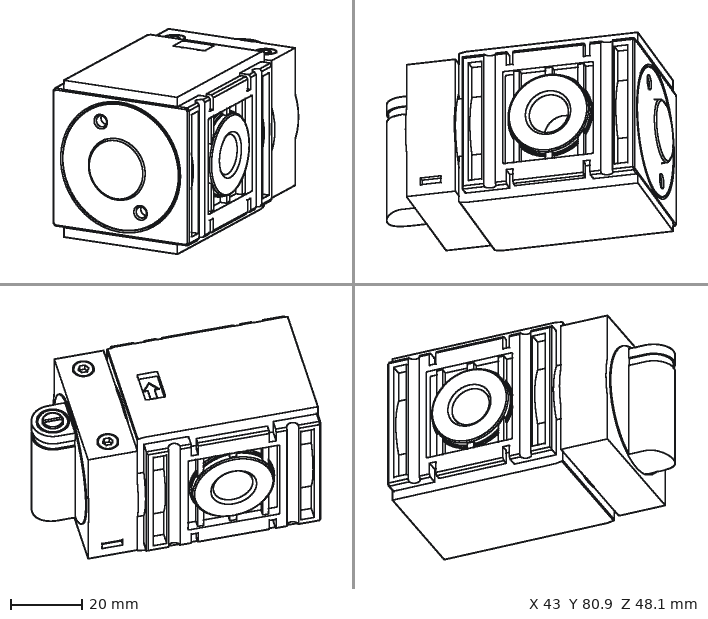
import cadquery as cq
import math


TOTAL_LENGTH = 80.9

BODY_WIDTH = 43.0
BODY_HEIGHT = 40.3
BODY_FRONT = -25.2
BODY_BACK = 25.1
BODY_CHAMFER_SIDE = 0.6
BODY_CHAMFER_TOP = 0.7
BODY_CHAMFER_END = 0.4

COVER_WIDTH = 35.9
COVER_BACK = 27.0
COVER_HEIGHT = 48.1
COVER_EDGE_Z = 23.0
COVER_LIP_Z = 22.65
COVER_LIP_CHAMFER = 0.25
COVER_CROWN_FRONT = -20.95
COVER_CROWN_BACK = 21.35
COVER_SLOPE_RISE = 1.1
CORE_SETBACK = 1.6

CORE_DIAMETER = 40.0

SLOT_Y = 21.3
SLOT_WIDTH = 3.9
SLOT_HEIGHT = 35.75
CHANNEL_Y = 17.1
CHANNEL_DIAMETER = 3.4
CHANNEL_INSET = 0.25
NOTCH_Y = 11.25
NOTCH_WIDTH = 1.95
NOTCH_BOTTOM_Z = 15.9
GAP_WIDTH = 1.3

WINDOW_LENGTH = 26.4
WINDOW_HEIGHT = 28.0
WINDOW_DEPTH = 2.75
WINDOW_CORNER = 0.4
RIB_RECESS = 0.7
RIB_Y = 9.4
RIB_WIDTH = 1.7
CENTRE_RIB_WIDTH = 1.95
FLANGE_DIAMETER = 23.5
FLANGE_CHAMFER = 0.4
COLLAR_DIAMETER = 24.4
COLLAR_RECESS = 1.95
PORT_DIAMETER = 11.4
PORT_DEPTH = 16.2
PORT_CHAMFER = 0.9

KNOB_DIAMETER = 18.0
KNOB_FRONT = -27.9
KNOB_TIP_CHAMFER = 0.5
KNOB_FOOT_RADIUS = 1.0
CAP_DIAMETER = 37.0
CAP_SEAT_DIAMETER = 38.0
CAP_EDGE_BEVEL = 0.2
PIN_HOLE_DIAMETER = 3.2
PIN_HOLE_CHAMFER = 0.5
PIN_HOLE_DEPTH = 3.2
PIN_HOLE_X = 6.3
PIN_HOLE_Z = 12.45

BLOCK_FRONT = 27.4
BLOCK_BACK = 41.7
BLOCK_WIDTH = 40.1
BLOCK_HEIGHT = 40.2
BLOCK_ROUND_DIAMETER = 42.2
BACK_DISC_DIAMETER = CAP_DIAMETER
BACK_DISC_THICKNESS = 0.3
SCREW_X = 14.5
SCREW_Y = 34.6
SCREW_HEAD_DIAMETER = 5.5
SCREW_SEAT_DIAMETER = 6.0
SCREW_SEAT_DEPTH = 0.8
SCREW_HEX_ACROSS_FLATS = 2.6
SCREW_HEX_DEPTH = 1.6
LABEL_Y = 34.6
LABEL_Z = -15.9
LABEL_LENGTH = 6.0
LABEL_HEIGHT = 2.0
LABEL_DEPTH = 1.6

LUG_BACK = KNOB_FRONT + TOTAL_LENGTH
LUG_WIDTH = 12.05
LUG_TOP = 16.75
LUG_BOTTOM_RADIUS = 18.6
LUG_GROOVE_LOW = 11.3
LUG_GROOVE_HIGH = 13.75
LUG_GROOVE_DEPTH = 0.5
LUG_RING_INNER = 8.5
LUG_RING_OUTER = 9.15
LUG_RING_DEPTH = 0.4
ADJUSTER_RISE = 0.5
DRIVER_SLOT_WIDTH = 0.8
DRIVER_SLOT_DEPTH = 0.8

POCKET_WIDTH = 10.0
POCKET_FRONT = 15.6
POCKET_BACK = 21.4
POCKET_FLOOR_Z = 22.1
POCKET_CORNER = 0.4
ARROW_DEPTH = 0.3
ARROW_Y = 18.5
ARROW_TAIL_X = -3.15
ARROW_NECK_X = 0.2
ARROW_TIP_X = 3.0
ARROW_SHAFT_WIDTH = 1.95
ARROW_HEAD_WIDTH = 4.5


def block(x0, x1, y0, y1, z0, z1):
    """Box between opposite corners."""
    return cq.Workplane("XY").box(x1 - x0, y1 - y0, z1 - z0, centered=False).translate((x0, y0, z0))


def disc_x(diameter, x0, x1):
    """Cylinder on the port axis from x0 to x1."""
    return cq.Workplane("YZ").workplane(offset=x0).circle(diameter / 2).extrude(x1 - x0)


def disc_y(diameter, y0, y1):
    """Cylinder on the knob axis from y0 to y1."""
    return cq.Workplane("XZ", origin=(0, y0, 0)).circle(diameter / 2).extrude(y0 - y1)


def disc_z(diameter, x, y, z0, z1):
    """Cylinder along Z from z0 to z1."""
    return cq.Workplane("XY", origin=(x, y, z0)).circle(diameter / 2).extrude(z1 - z0)


def ring_z(outer, inner, x, y, z0, z1):
    """Upright ring from z0 to z1."""
    return disc_z(outer, x, y, z0, z1).cut(disc_z(inner, x, y, z0, z1))


def both_sides(solid):
    """The solid together with its mirror image across X = 0."""
    return solid.union(solid.mirror("YZ"))


def make_body():
    half_w = BODY_WIDTH / 2
    half_h = BODY_HEIGHT / 2
    section = [
        (half_w, half_h - BODY_CHAMFER_TOP),
        (half_w - BODY_CHAMFER_SIDE, half_h),
        (BODY_CHAMFER_SIDE - half_w, half_h),
        (-half_w, half_h - BODY_CHAMFER_TOP),
        (-half_w, BODY_CHAMFER_TOP - half_h),
        (BODY_CHAMFER_SIDE - half_w, -half_h),
        (half_w - BODY_CHAMFER_SIDE, -half_h),
        (half_w, BODY_CHAMFER_TOP - half_h),
    ]
    body = cq.Workplane("XZ", origin=(0, BODY_FRONT, 0)).polyline(section).close()
    body = body.extrude(BODY_FRONT - BODY_BACK)
    body = body.faces("<Y").chamfer(BODY_CHAMFER_END)
    return body.faces(">Y").edges("|Z").chamfer(BODY_CHAMFER_END)


def cut_side_wall(body):
    """Slots, channels, notches and port window in both side walls."""
    outer = BODY_WIDTH / 2
    inner = COVER_WIDTH / 2
    half_h = BODY_HEIGHT / 2
    for end in (-1, 1):
        slot = block(inner, outer, end * SLOT_Y - SLOT_WIDTH / 2, end * SLOT_Y + SLOT_WIDTH / 2,
                     -SLOT_HEIGHT / 2, SLOT_HEIGHT / 2)
        slot = slot.cut(disc_y(CORE_DIAMETER, BODY_FRONT, BODY_BACK))
        body = body.cut(both_sides(slot))
        channel = disc_z(CHANNEL_DIAMETER, outer - CHANNEL_INSET, end * CHANNEL_Y, -half_h, half_h)
        body = body.cut(both_sides(channel))

    for low, high in ((NOTCH_BOTTOM_Z, half_h), (-half_h, -NOTCH_BOTTOM_Z)):
        for end in (-1, 1):
            notch = block(inner, outer, end * NOTCH_Y - NOTCH_WIDTH / 2, end * NOTCH_Y + NOTCH_WIDTH / 2,
                          low, high)
            body = body.cut(both_sides(notch))
        gap = block(inner, inner + GAP_WIDTH, -NOTCH_Y, NOTCH_Y, low, high)
        body = body.cut(both_sides(gap))

    floor = outer - WINDOW_DEPTH
    window = block(floor, outer, -WINDOW_LENGTH / 2, WINDOW_LENGTH / 2, -WINDOW_HEIGHT / 2, WINDOW_HEIGHT / 2)
    window = window.edges("|X").fillet(WINDOW_CORNER)
    rib_top = outer - RIB_RECESS
    for y, width in ((-RIB_Y, RIB_WIDTH), (0, CENTRE_RIB_WIDTH), (RIB_Y, RIB_WIDTH)):
        window = window.cut(block(floor, rib_top, y - width / 2, y + width / 2,
                                  -WINDOW_HEIGHT / 2, WINDOW_HEIGHT / 2))
    return body.cut(both_sides(window))


def make_port_flange():
    outer = BODY_WIDTH / 2
    floor = outer - WINDOW_DEPTH
    flange = disc_x(FLANGE_DIAMETER, floor, outer).faces(">X").chamfer(FLANGE_CHAMFER)
    return both_sides(flange.union(disc_x(COLLAR_DIAMETER, floor, outer - COLLAR_RECESS)))


def make_port_bore():
    outer = BODY_WIDTH / 2
    radius = PORT_DIAMETER / 2
    outline = [
        (outer, 0),
        (outer, radius + PORT_CHAMFER),
        (outer - PORT_CHAMFER, radius),
        (outer - PORT_DEPTH, radius),
        (outer - PORT_DEPTH, 0),
    ]
    bore = cq.Workplane("XY").polyline(outline).close().revolve(360, (0, 0, 0), (1, 0, 0))
    return both_sides(bore)


def make_covers():
    half_w = COVER_WIDTH / 2
    crown_z = COVER_HEIGHT / 2
    crowned = (
        cq.Workplane("XZ", origin=(0, BODY_FRONT, 0))
        .moveTo(-half_w, -COVER_EDGE_Z)
        .lineTo(-half_w, COVER_EDGE_Z)
        .threePointArc((0, crown_z), (half_w, COVER_EDGE_Z))
        .lineTo(half_w, -COVER_EDGE_Z)
        .threePointArc((0, -crown_z), (-half_w, -COVER_EDGE_Z))
        .close()
        .extrude(BODY_FRONT - COVER_BACK)
    )
    slope_foot_z = crown_z - COVER_SLOPE_RISE
    upper = [
        (BODY_FRONT, slope_foot_z),
        (COVER_CROWN_FRONT, crown_z),
        (COVER_CROWN_BACK, crown_z),
        (BODY_BACK, slope_foot_z),
        (COVER_BACK - COVER_LIP_CHAMFER, COVER_LIP_Z),
        (COVER_BACK, COVER_LIP_Z - COVER_LIP_CHAMFER),
    ]
    lower = [(y, -z) for y, z in reversed(upper)]
    outline = cq.Workplane("YZ").polyline(upper + lower).close().extrude(half_w, both=True)
    relief = block(-half_w, half_w, BODY_FRONT, BODY_FRONT + CORE_SETBACK, -BODY_HEIGHT / 2, BODY_HEIGHT / 2)
    return crowned.intersect(outline).cut(relief)


def make_arrow_pocket():
    half_w = POCKET_WIDTH / 2
    pocket = block(-half_w, half_w, POCKET_FRONT, POCKET_BACK, POCKET_FLOOR_Z, COVER_HEIGHT / 2)
    pocket = pocket.edges("|Z").fillet(POCKET_CORNER)
    shaft = ARROW_SHAFT_WIDTH / 2
    head = ARROW_HEAD_WIDTH / 2
    outline = [
        (ARROW_TAIL_X, -shaft),
        (ARROW_NECK_X, -shaft),
        (ARROW_NECK_X, -head),
        (ARROW_TIP_X, 0),
        (ARROW_NECK_X, head),
        (ARROW_NECK_X, shaft),
        (ARROW_TAIL_X, shaft),
    ]
    arrow = cq.Workplane("XY", origin=(0, ARROW_Y, POCKET_FLOOR_Z)).polyline(outline).close()
    return pocket.union(arrow.extrude(-ARROW_DEPTH))


def make_knob():
    radius = KNOB_DIAMETER / 2
    foot = KNOB_FOOT_RADIUS
    bend = foot * (1 - math.sqrt(0.5))
    return (
        cq.Workplane("XY")
        .moveTo(0, BODY_FRONT)
        .lineTo(radius + foot, BODY_FRONT)
        .threePointArc((radius + bend, BODY_FRONT - bend), (radius, BODY_FRONT - foot))
        .lineTo(radius, KNOB_FRONT + KNOB_TIP_CHAMFER)
        .lineTo(radius - KNOB_TIP_CHAMFER, KNOB_FRONT)
        .lineTo(0, KNOB_FRONT)
        .close()
        .revolve(360, (0, 0, 0), (0, 1, 0))
    )


def make_cap_groove():
    """Groove around the cap: lightly bevelled on the cap, fully bevelled on the body."""
    cap = CAP_DIAMETER / 2
    seat = CAP_SEAT_DIAMETER / 2
    outline = [
        (cap - CAP_EDGE_BEVEL, BODY_FRONT),
        (seat, BODY_FRONT),
        (cap, BODY_FRONT + seat - cap),
        (cap, BODY_FRONT + CAP_EDGE_BEVEL),
    ]
    return cq.Workplane("XY").polyline(outline).close().revolve(360, (0, 0, 0), (0, 1, 0))


def make_pin_hole(x, z):
    radius = PIN_HOLE_DIAMETER / 2
    outline = [
        (0, BODY_FRONT),
        (radius + PIN_HOLE_CHAMFER, BODY_FRONT),
        (radius, BODY_FRONT + PIN_HOLE_CHAMFER),
        (radius, BODY_FRONT + PIN_HOLE_DEPTH),
        (0, BODY_FRONT + PIN_HOLE_DEPTH),
    ]
    hole = cq.Workplane("XY").polyline(outline).close().revolve(360, (0, 0, 0), (0, 1, 0))
    return hole.translate((x, 0, z))


def make_rear_block():
    half_w = BLOCK_WIDTH / 2
    half_h = BLOCK_HEIGHT / 2
    round_r = BLOCK_ROUND_DIAMETER / 2
    rear = block(-half_w, half_w, BLOCK_FRONT, BLOCK_BACK, -half_h, half_h)
    bulge = disc_y(BLOCK_ROUND_DIAMETER, BLOCK_FRONT, BLOCK_BACK)
    bulge = bulge.intersect(block(-round_r, round_r, BLOCK_FRONT, BLOCK_BACK, -half_h, half_h))
    rear = rear.union(bulge)
    rear = rear.union(disc_y(BACK_DISC_DIAMETER, BLOCK_BACK, BLOCK_BACK + BACK_DISC_THICKNESS))

    for x in (-SCREW_X, SCREW_X):
        rear = rear.cut(ring_z(SCREW_SEAT_DIAMETER, SCREW_HEAD_DIAMETER, x, SCREW_Y,
                               half_h - SCREW_SEAT_DEPTH, half_h))
        across_corners = SCREW_HEX_ACROSS_FLATS / math.cos(math.pi / 6)
        socket = cq.Workplane("XY").polygon(6, across_corners).extrude(-SCREW_HEX_DEPTH)
        socket = socket.rotate((0, 0, 0), (0, 0, 1), 30)
        rear = rear.cut(socket.translate((x, SCREW_Y, half_h)))

    recess = block(-half_w, LABEL_DEPTH - half_w, LABEL_Y - LABEL_LENGTH / 2, LABEL_Y + LABEL_LENGTH / 2,
                   LABEL_Z - LABEL_HEIGHT / 2, LABEL_Z + LABEL_HEIGHT / 2)
    return rear.cut(recess)


def lug_column(inset, z0, z1):
    """Column with a round back end, set in by the given amount, from z0 to z1."""
    radius = LUG_WIDTH / 2 - inset
    centre_y = LUG_BACK - LUG_WIDTH / 2
    column = block(-radius, radius, BLOCK_BACK, centre_y, z0, z1)
    return column.union(disc_z(2 * radius, 0, centre_y, z0, z1))


def make_lug():
    centre_y = LUG_BACK - LUG_WIDTH / 2
    lug = lug_column(0, -LUG_BOTTOM_RADIUS, LUG_TOP)
    lug = lug.intersect(disc_y(2 * LUG_BOTTOM_RADIUS, BLOCK_BACK, LUG_BACK))
    groove = lug_column(0, LUG_GROOVE_LOW, LUG_GROOVE_HIGH)
    groove = groove.cut(lug_column(LUG_GROOVE_DEPTH, LUG_GROOVE_LOW, LUG_GROOVE_HIGH))
    lug = lug.cut(groove)

    lug = lug.cut(ring_z(LUG_RING_OUTER, LUG_RING_INNER, 0, centre_y, LUG_TOP - LUG_RING_DEPTH, LUG_TOP))
    lug = lug.cut(ring_z(SCREW_SEAT_DIAMETER, SCREW_HEAD_DIAMETER, 0, centre_y,
                         LUG_TOP - SCREW_SEAT_DEPTH, LUG_TOP))
    head_top = LUG_TOP + ADJUSTER_RISE
    lug = lug.union(disc_z(SCREW_HEAD_DIAMETER, 0, centre_y, LUG_TOP, head_top))
    half_slot = DRIVER_SLOT_WIDTH / 2
    head_r = SCREW_HEAD_DIAMETER / 2
    return lug.cut(block(-half_slot, half_slot, centre_y - head_r, centre_y + head_r,
                         head_top - DRIVER_SLOT_DEPTH, head_top))


result = cut_side_wall(make_body())
result = result.union(make_covers().cut(make_arrow_pocket()))
result = result.union(make_port_flange()).cut(make_port_bore())

result = result.cut(make_cap_groove()).union(make_knob())
for side in (-1, 1):
    result = result.cut(make_pin_hole(side * PIN_HOLE_X, -side * PIN_HOLE_Z))

result = result.union(disc_y(CORE_DIAMETER, BODY_BACK, BLOCK_FRONT))
result = result.union(make_rear_block()).union(make_lug())